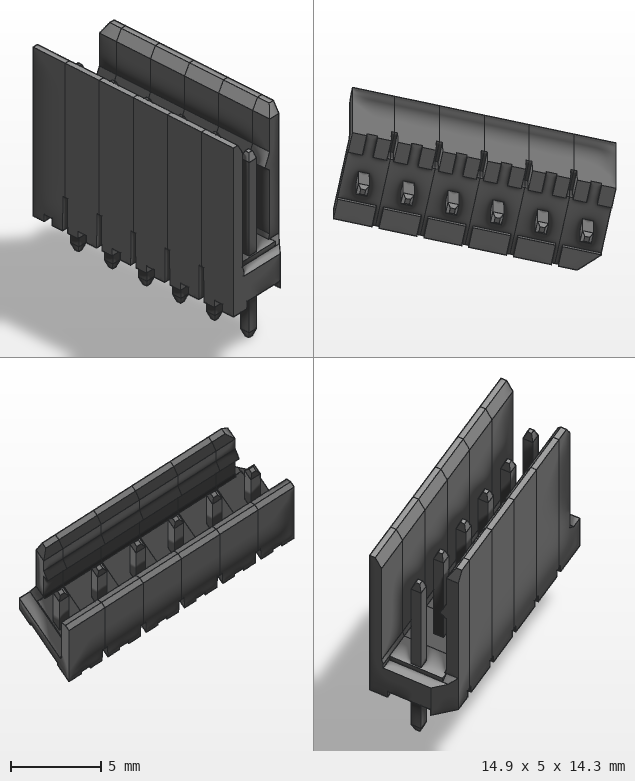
import cadquery as cq


POSITIONS = 6
PITCH = 2.54
LENGTH = 14.94
DEPTH = 5.0
HEIGHT = 11.3

FOOT_HEIGHT = 0.48
FOOT_DEPTH = 1.14
FLOOR_HEIGHT = 2.61
LEDGE_HEIGHT = 2.3
LEDGE_WIDTH = 0.7
CORNER_CHAMFER = 1.12

WALL_THICKNESS = 0.76
LEAD_IN_WIDTH = 0.4
LEAD_IN_HEIGHT = 0.69
WALL_ROOT_WIDTH = 0.1
WALL_ROOT_HEIGHT = 0.31

RIDGE_REACH = 0.4
RIDGE_BOTTOM = 7.19
RIDGE_TIP = 7.5
RIDGE_TOP = 8.41

SLOT_TOP_WIDTH = 0.33
SLOT_BOTTOM_WIDTH = 0.39
NOTCH_WIDTH = 0.6

PIN_WIDTH = 0.63
PIN_TIP_WIDTH = 0.28
PIN_TIP_LENGTH = 0.5
PIN_TOP = 9.37
PIN_BOTTOM = -3.0

END_X = LENGTH / 2
LEDGE_X = END_X - LEDGE_WIDTH
OUTER_Y = DEPTH / 2
WALL_Y = OUTER_Y - WALL_THICKNESS
ROOT_Y = WALL_Y - WALL_ROOT_WIDTH
FOOT_Y = OUTER_Y - FOOT_DEPTH
FIRST_PIN_X = -PITCH * (POSITIONS - 1) / 2
REAR_WALL_X = -FIRST_PIN_X
PIN_XS = [FIRST_PIN_X + PITCH * i for i in range(POSITIONS)]
JOINT_XS = [x + PITCH / 2 for x in PIN_XS[:-1]]


def block(x_range, y_range, z_range):
    """Box between the given limits."""
    (x0, x1), (y0, y1), (z0, z1) = x_range, y_range, z_range
    return cq.Workplane("XY").box(x1 - x0, y1 - y0, z1 - z0, centered=False).translate((x0, y0, z0))


def extrude_along_x(outline, half_length):
    """Extrude a (Y, Z) outline equally to both sides of X = 0."""
    return cq.Workplane("YZ").polyline(outline).close().extrude(half_length, both=True)


def extrude_along_y(outline, y_start, y_end):
    """Extrude an (X, Z) outline from y_start to y_end."""
    return cq.Workplane("XZ", origin=(0, y_start, 0)).polyline(outline).close().extrude(y_start - y_end)


def make_base():
    """Floor block with the channel between the feet and a lower ledge at each end."""
    base = block((-END_X, END_X), (-OUTER_Y, OUTER_Y), (0, FLOOR_HEIGHT))
    base = base.cut(block((-END_X, END_X), (-FOOT_Y, FOOT_Y), (0, FOOT_HEIGHT)))
    for x_range in ((-END_X, -LEDGE_X), (LEDGE_X, END_X)):
        base = base.cut(block(x_range, (-ROOT_Y, OUTER_Y), (LEDGE_HEIGHT, FLOOR_HEIGHT)))

    for side in (-1, 1):
        above_ramp = [
            (side * LEDGE_X, LEDGE_HEIGHT),
            (side * LEDGE_X, FLOOR_HEIGHT),
            (side * REAR_WALL_X, FLOOR_HEIGHT),
        ]
        base = base.cut(extrude_along_y(above_ramp, WALL_Y, OUTER_Y))
    return base


def wall_outline(side):
    """(Y, Z) outline of a wall; side is 1 for the rear wall and -1 for the front wall."""
    return [
        (side * OUTER_Y, FLOOR_HEIGHT),
        (side * OUTER_Y, HEIGHT),
        (side * (WALL_Y + LEAD_IN_WIDTH), HEIGHT),
        (side * WALL_Y, HEIGHT - LEAD_IN_HEIGHT),
        (side * WALL_Y, FLOOR_HEIGHT + WALL_ROOT_HEIGHT),
        (side * ROOT_Y, FLOOR_HEIGHT),
    ]


def make_front_wall():
    return extrude_along_x(wall_outline(-1), END_X)


def make_rear_wall():
    """Shorter wall with bevelled upper ends and a latch ridge on its inner face."""
    wall = extrude_along_x(wall_outline(1), REAR_WALL_X)
    for side in (-1, 1):
        end_bevel = [
            (side * REAR_WALL_X, HEIGHT - LEAD_IN_HEIGHT),
            (side * REAR_WALL_X, HEIGHT),
            (side * (REAR_WALL_X - LEAD_IN_WIDTH), HEIGHT),
        ]
        wall = wall.cut(extrude_along_y(end_bevel, WALL_Y, OUTER_Y))
    ridge = [(WALL_Y, RIDGE_BOTTOM), (WALL_Y - RIDGE_REACH, RIDGE_TIP), (WALL_Y, RIDGE_TOP)]
    return wall.union(extrude_along_x(ridge, REAR_WALL_X))


def cut_corner(housing):
    """Bevel the vertical rear corner of the base at the +X end."""
    corner = (
        cq.Workplane("XY")
        .moveTo(END_X - CORNER_CHAMFER, OUTER_Y)
        .lineTo(END_X, OUTER_Y)
        .lineTo(END_X, OUTER_Y - CORNER_CHAMFER)
        .close()
        .extrude(FLOOR_HEIGHT)
    )
    return housing.cut(corner)


def cut_slots(housing):
    """Flared slots at the joints: up the front face, and through the rear foot only."""
    for x in JOINT_XS:
        slot = [
            (x - SLOT_BOTTOM_WIDTH / 2, 0),
            (x - SLOT_TOP_WIDTH / 2, LEDGE_HEIGHT),
            (x + SLOT_TOP_WIDTH / 2, LEDGE_HEIGHT),
            (x + SLOT_BOTTOM_WIDTH / 2, 0),
        ]
        housing = housing.cut(extrude_along_y(slot, -OUTER_Y, -FOOT_Y))
        rear_gap = (x - SLOT_BOTTOM_WIDTH / 2, x + SLOT_BOTTOM_WIDTH / 2)
        housing = housing.cut(block(rear_gap, (FOOT_Y, OUTER_Y), (0, FOOT_HEIGHT)))
    return housing


def cut_pin_notches(housing):
    """Notches through the front foot, one in line with each pin."""
    for x in PIN_XS:
        x_range = (x - NOTCH_WIDTH / 2, x + NOTCH_WIDTH / 2)
        housing = housing.cut(block(x_range, (-OUTER_Y, -FOOT_Y), (0, FOOT_HEIGHT)))
    return housing


def make_housing():
    """Full-length housing, before it is divided into positions."""
    housing = make_base().union(make_front_wall()).union(make_rear_wall())
    return cut_pin_notches(cut_slots(cut_corner(housing)))


def pin_tip(x, z_wide, z_narrow):
    """Square tip that tapers from z_wide to z_narrow."""
    return (
        cq.Workplane("XY", origin=(x, 0, z_wide))
        .rect(PIN_WIDTH, PIN_WIDTH)
        .workplane(offset=z_narrow - z_wide)
        .rect(PIN_TIP_WIDTH, PIN_TIP_WIDTH)
        .loft(ruled=True)
    )


def make_pin(x):
    """Square pin with a tapered tip at both ends."""
    shank_bottom = PIN_BOTTOM + PIN_TIP_LENGTH
    shank_top = PIN_TOP - PIN_TIP_LENGTH
    half = PIN_WIDTH / 2
    shank = block((x - half, x + half), (-half, half), (shank_bottom, shank_top))
    return shank.union(pin_tip(x, shank_top, PIN_TOP)).union(pin_tip(x, shank_bottom, PIN_BOTTOM))


def make_position(housing, pin_x, x_start, x_end):
    """One body: the slice of housing between two joints, joined to its pin."""
    section = block((x_start, x_end), (-OUTER_Y, OUTER_Y), (0, HEIGHT))
    return housing.intersect(section).union(make_pin(pin_x))


full_housing = make_housing()
section_limits = [-END_X, *JOINT_XS, END_X]
positions = [
    make_position(full_housing, pin_x, x_start, x_end)
    for pin_x, x_start, x_end in zip(PIN_XS, section_limits[:-1], section_limits[1:])
]

result = cq.Compound.makeCompound([position.solids().val() for position in positions])